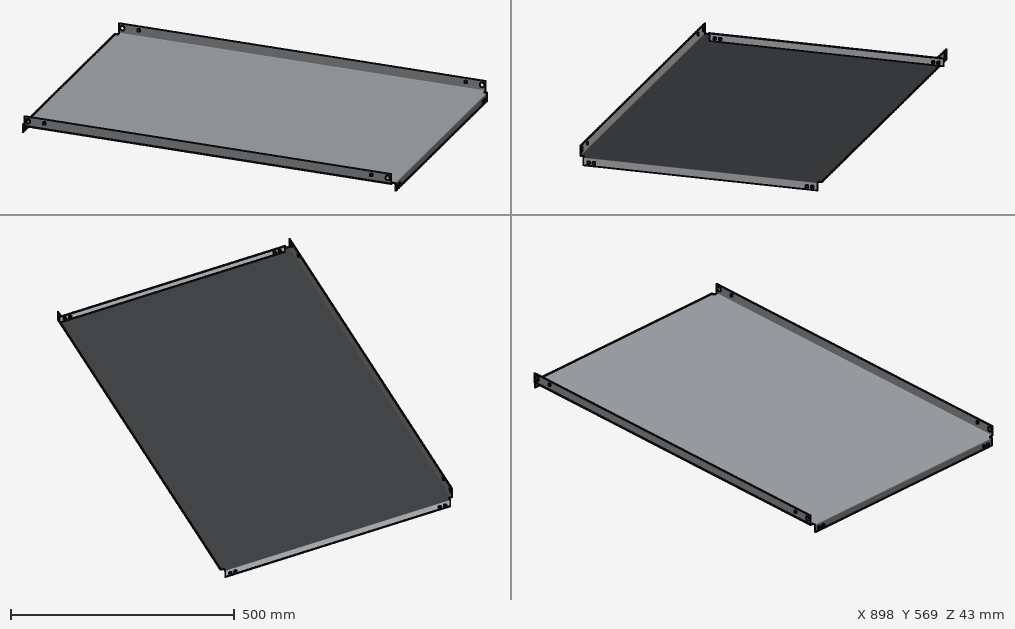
import cadquery as cq

length = 898.0
width = 569.0
height = 43.0
sheet = 1.5
bend_outer = 3.0
bend_inner = bend_outer - sheet

up_height = 25.0
up_end_gap = 8.0
down_end_gap = 9.0
panel_bottom = height - up_height
panel_top = panel_bottom + sheet
up_length = length - 2 * up_end_gap
down_length = width - 2 * down_end_gap

small_hole = 6.7
small_hole_from_end = 48.0
small_hole_z = height - 10.0
large_hole_width = 10.0
large_hole_height = 12.0
large_hole_from_end = 8.0
large_hole_z = height - 11.0

side_hole = 6.7
side_holes_from_end = (13.0, 25.0)
side_hole_z = 7.0


def bent_flange(run_end, free_z, flat_z, turn, flange_length):
    """Flange profile in the (across, Z) plane, extruded along its bend.

    flat_z is the panel face on the outside of the bend; turn is 1 to bend up, -1 to bend down.
    """
    bend_start = run_end - bend_outer
    inner_face = run_end - sheet
    diagonal = 0.5 ** 0.5
    bend_centre_z = flat_z + turn * bend_outer
    return (
        cq.Workplane("XZ")
        .moveTo(bend_start, flat_z)
        .threePointArc(
            (bend_start + bend_outer * diagonal, bend_centre_z - turn * bend_outer * diagonal),
            (run_end, bend_centre_z),
        )
        .lineTo(run_end, free_z)
        .lineTo(inner_face, free_z)
        .lineTo(inner_face, bend_centre_z)
        .threePointArc(
            (bend_start + bend_inner * diagonal, bend_centre_z - turn * bend_inner * diagonal),
            (bend_start, flat_z + turn * sheet),
        )
        .close()
        .extrude(flange_length / 2, both=True)
    )


def flat_panel():
    """Flat sheet reaching to the bends, with its corners notched between the flanges."""
    flat_length = length - 2 * bend_outer
    flat_width = width - 2 * bend_outer
    along_x = cq.Workplane("XY").box(flat_length, down_length, sheet, centered=(True, True, False))
    along_y = cq.Workplane("XY").box(up_length, flat_width, sheet, centered=(True, True, False))
    return along_x.union(along_y).translate((0, 0, panel_bottom))


def rising_flange_holes():
    small_x = up_length / 2 - small_hole_from_end
    large_x = up_length / 2 - large_hole_from_end
    small = (
        cq.Workplane("XZ")
        .pushPoints([(-small_x, small_hole_z), (small_x, small_hole_z)])
        .circle(small_hole / 2)
        .extrude(width, both=True)
    )
    large = (
        cq.Workplane("XZ")
        .pushPoints([(-large_x, large_hole_z), (large_x, large_hole_z)])
        .slot2D(large_hole_height, large_hole_width, 90)
        .extrude(width, both=True)
    )
    return small.union(large)


def hanging_flange_holes():
    end = down_length / 2
    points = [(side * (end - d), side_hole_z) for side in (-1, 1) for d in side_holes_from_end]
    return cq.Workplane("YZ").pushPoints(points).circle(side_hole / 2).extrude(length, both=True)


rising = bent_flange(width / 2, height, panel_bottom, 1, up_length)
hanging = bent_flange(length / 2, 0, panel_top, -1, down_length)

result = flat_panel()
for angle in (0, 180):
    result = result.union(hanging.rotate((0, 0, 0), (0, 0, 1), angle))
    result = result.union(rising.rotate((0, 0, 0), (0, 0, 1), angle + 90))
result = result.cut(rising_flange_holes()).cut(hanging_flange_holes())